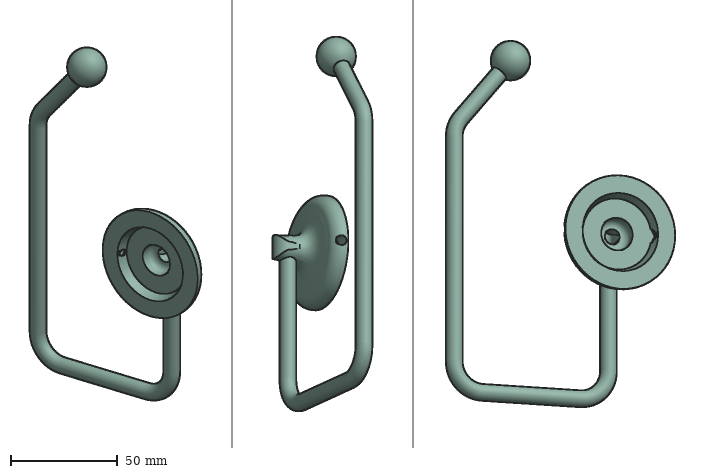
import cadquery as cq
import math


ROD_RADIUS = 4.0
ROD_Y = 17.7
BEND_RADIUS = 14.0
ROD_LEFT_X = -76.0
ROD_BOTTOM_Z = -77.0
UPRIGHT_TOP_Z = 44.1
TIP_ANGLE = math.radians(40)
BALL_RADIUS = 9.3
BALL_X = -48.2
BALL_Z = 82.0

PLATE_RADIUS = 27.0
RIM_HEIGHT = 1.2
DOME_RADIUS = 6.2
FLARE_RADIUS = 18.6
FLARE_Y = 7.8
NECK_RADIUS = 6.5
NECK_Y = 14.8
POST_TIP_RADIUS = 5.7
POST_ROUND_RADIUS = 5.9
POST_END_Y = 25.2

RECESS_RADIUS = 18.6
RECESS_FLOOR_RADIUS = 16.9
RECESS_DEPTH = 5.2
SOCKET_RADIUS = 7.8
SOCKET_FILLET = 3.1
SOCKET_DEPTH = 6.9
BORE_RADIUS = 3.6
BORE_TIP_RADIUS = 2.5
BORE_END_Y = 22.4
NOTCH_HALF_WIDTH = 3.3
SCREW_HOLE_RADIUS = 2.33
SCREW_TIP_RADIUS = 1.2
SCREW_HOLE_Y = 3.36
DIMPLE_DEPTH = 2.5


def tangent_bend(path, centre, start_angle, end_angle):
    """Extend the path by a bend about the centre, from start to end angle."""
    def point(angle):
        return (centre[0] + BEND_RADIUS * math.cos(angle),
                centre[1] + BEND_RADIUS * math.sin(angle))
    middle = (start_angle + end_angle) / 2
    return path.lineTo(*point(start_angle)).threePointArc(point(middle), point(end_angle))


def make_rod():
    lower_z = ROD_BOTTOM_Z + BEND_RADIUS
    left_bend_x = ROD_LEFT_X + BEND_RADIUS
    path = cq.Workplane("XZ").workplane(offset=-ROD_Y).moveTo(0, 0)
    path = tangent_bend(path, (-BEND_RADIUS, lower_z), 0, -math.pi / 2)
    path = tangent_bend(path, (left_bend_x, lower_z), -math.pi / 2, -math.pi)
    path = tangent_bend(path, (left_bend_x, UPRIGHT_TOP_Z), math.pi, math.pi - TIP_ANGLE)
    path = path.lineTo(BALL_X, BALL_Z)
    rod = cq.Workplane("XY").center(0, ROD_Y).circle(ROD_RADIUS).sweep(path)
    ball = cq.Workplane("XY").sphere(BALL_RADIUS).translate((BALL_X, ROD_Y, BALL_Z))
    return rod.union(ball)


def revolve_about_y(profile):
    return profile.close().revolve(360, (0, 0, 0), (0, 1, 0))


def rounded_block(base_half_width, neck_half_width, neck_y, tip_radius, end_y):
    """Block along Z with a wide base, a tapered neck and a half-round end toward +Y."""
    tip_y = end_y - tip_radius
    return (
        cq.Workplane("XY")
        .moveTo(-base_half_width, 0)
        .lineTo(base_half_width, 0)
        .lineTo(base_half_width, neck_y)
        .lineTo(neck_half_width, neck_y)
        .lineTo(tip_radius, tip_y)
        .threePointArc((0, end_y), (-tip_radius, tip_y))
        .lineTo(-neck_half_width, neck_y)
        .lineTo(-base_half_width, neck_y)
        .close()
        .extrude(base_half_width, both=True)
    )


def make_plate():
    dome_x = PLATE_RADIUS - DOME_RADIUS
    dome_top = RIM_HEIGHT + DOME_RADIUS
    diagonal = DOME_RADIUS * math.sqrt(0.5)
    profile = (
        cq.Workplane("XY")
        .lineTo(PLATE_RADIUS, 0)
        .lineTo(PLATE_RADIUS, RIM_HEIGHT)
        .threePointArc((dome_x + diagonal, RIM_HEIGHT + diagonal), (dome_x, dome_top))
        .lineTo(FLARE_RADIUS, FLARE_Y)
        .spline([(NECK_RADIUS, NECK_Y)], tangents=[(-1, 0), (-0.1, 1)], includeCurrent=True)
        .lineTo(POST_TIP_RADIUS, POST_END_Y)
        .lineTo(0, POST_END_Y)
    )
    plate = revolve_about_y(profile)
    envelope = rounded_block(PLATE_RADIUS, NECK_RADIUS, NECK_Y, POST_ROUND_RADIUS, POST_END_Y)
    return plate.intersect(envelope)


def make_recess():
    profile = (
        cq.Workplane("XY")
        .lineTo(RECESS_RADIUS, 0)
        .lineTo(RECESS_FLOOR_RADIUS, RECESS_DEPTH)
        .lineTo(0, RECESS_DEPTH)
    )
    notch = (
        cq.Workplane("XZ")
        .moveTo(0, -NOTCH_HALF_WIDTH)
        .lineTo(RECESS_FLOOR_RADIUS, -NOTCH_HALF_WIDTH)
        .lineTo(RECESS_RADIUS, 0)
        .lineTo(RECESS_FLOOR_RADIUS, NOTCH_HALF_WIDTH)
        .lineTo(0, NOTCH_HALF_WIDTH)
        .close()
        .extrude(-RECESS_DEPTH)
    )
    return revolve_about_y(profile).union(notch)


def make_socket():
    socket_floor_y = RECESS_DEPTH + SOCKET_DEPTH
    profile = (
        cq.Workplane("XY")
        .lineTo(SOCKET_RADIUS, 0)
        .lineTo(SOCKET_RADIUS, socket_floor_y - SOCKET_FILLET)
        .radiusArc((SOCKET_RADIUS - SOCKET_FILLET, socket_floor_y), -SOCKET_FILLET)
        .lineTo(BORE_RADIUS, socket_floor_y)
        .lineTo(BORE_RADIUS, BORE_END_Y)
        .lineTo(0, BORE_END_Y)
    )
    envelope = rounded_block(SOCKET_RADIUS, BORE_RADIUS, socket_floor_y, BORE_TIP_RADIUS, BORE_END_Y)
    return revolve_about_y(profile).intersect(envelope)


def make_screw_hole():
    """Tapered hole through the -X wall and a conical dimple opposite."""
    hole = (
        cq.Workplane("XY")
        .moveTo(-PLATE_RADIUS, SCREW_HOLE_Y)
        .lineTo(-PLATE_RADIUS, SCREW_HOLE_Y + SCREW_HOLE_RADIUS)
        .lineTo(-RECESS_RADIUS, SCREW_HOLE_Y + SCREW_HOLE_RADIUS)
        .lineTo(-RECESS_FLOOR_RADIUS, SCREW_HOLE_Y + SCREW_TIP_RADIUS)
        .lineTo(RECESS_RADIUS, SCREW_HOLE_Y + SCREW_TIP_RADIUS)
        .lineTo(RECESS_RADIUS + DIMPLE_DEPTH, SCREW_HOLE_Y)
        .close()
    )
    return hole.revolve(360, (0, SCREW_HOLE_Y, 0), (1, SCREW_HOLE_Y, 0))


result = (
    make_plate()
    .union(make_rod())
    .cut(make_recess())
    .cut(make_socket())
    .cut(make_screw_hole())
)